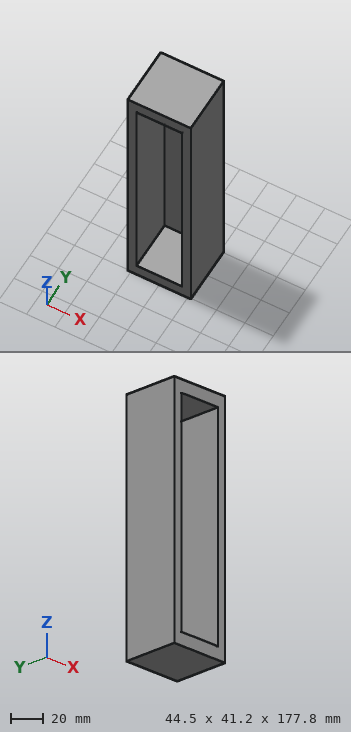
import cadquery as cq

width = 44.5
depth = 41.2
height = 177.8

side_wall = 6.2
end_wall = 9.2
back_wall = side_wall

pocket_width = width - 2 * side_wall
pocket_depth = depth - back_wall
pocket_height = height - 2 * end_wall

block = cq.Workplane("XY").box(width, depth, height)
pocket = (
    cq.Workplane("XY")
    .box(pocket_width, pocket_depth, pocket_height)
    .translate((0, -back_wall / 2, 0))
)

result = block.cut(pocket)